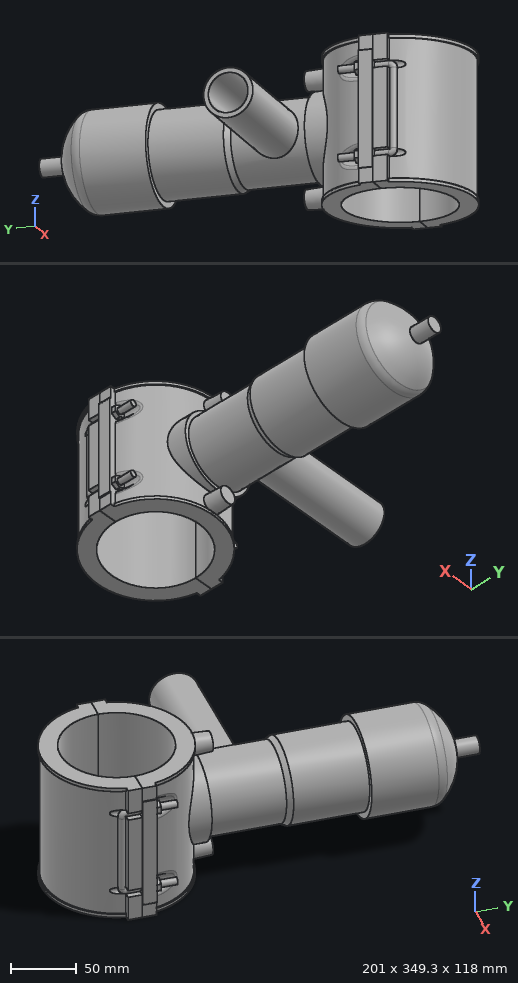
import cadquery as cq
import math

CLAMP_HEIGHT = 118.0
BORE_RADIUS = 45.0
LIP_RADIUS = 60.0
LIP_HEIGHT = 3.0
WALL_RADIUS = LIP_RADIUS - 1.2

EAR_REACH = 63.0
EAR_THICKNESS = 11.5
PAD_REACH = EAR_REACH + 1.0
PAD_HEIGHT = 94.0

ROD_DIAMETER = 6.0
ROD_RADIUS = ROD_DIAMETER / 2
BOLT_X = 57.0
BOLT_Z = 35.25
BOLT_TIP_Y = 29.5
BEND_RADIUS = ROD_RADIUS + 0.1
BOLT_BAR_Y = -(EAR_THICKNESS + BEND_RADIUS)
NUT_ACROSS_FLATS = 10.0
NUT_THICKNESS = 4.0
POCKET_RADIUS = 7.0
POCKET_ROUNDING = 4.0

TOWER_SCALE = 1.22
COLLAR_RADIUS = 30.0 * TOWER_SCALE
NECK_RADIUS = 27.0 * TOWER_SCALE
SLEEVE_RADIUS = 29.0 * TOWER_SCALE
CAP_DIAMETER = 81.33
CAP_RADIUS = CAP_DIAMETER / 2
STEM_RADIUS = 6.0 * TOWER_SCALE
CROWN_RADIUS = 40.0 * TOWER_SCALE
KNUCKLE_RADIUS = 10.0 * TOWER_SCALE

TOWER_TOP = 289.25
CROWN_TOP = TOWER_TOP - 15.0 * TOWER_SCALE
CROWN_CENTRE = CROWN_TOP - CROWN_RADIUS
KNUCKLE_CENTRE_R = CAP_RADIUS - KNUCKLE_RADIUS
KNUCKLE_CENTRE_Y = CROWN_CENTRE + math.sqrt((CROWN_RADIUS - KNUCKLE_RADIUS) ** 2 - KNUCKLE_CENTRE_R**2)
CAP_BOTTOM = KNUCKLE_CENTRE_Y - 44.0 * TOWER_SCALE
CONE_TOP = CAP_BOTTOM - 50.0 * TOWER_SCALE
CONE_BOTTOM = CONE_TOP - 4.0 * TOWER_SCALE
COLLAR_TOP = CONE_BOTTOM - 50.0 * TOWER_SCALE

BRANCH_RADIUS = 20.0
BRANCH_BORE_RADIUS = 16.0
BRANCH_Y = 91.0
BRANCH_END_X = -137.0
BRANCH_BORE_DEPTH = -BRANCH_END_X - NECK_RADIUS

STUD_Z = 47.25
STUD_TIP_Y = 75.0
STUD_TIP_RADIUS = 8.0
STUD_EMBED = 2.0
STUD_ROOT_Y = WALL_RADIUS - STUD_EMBED
STUD_ROOT_RADIUS = 8.9


def cylinder_z(radius, height):
    return cq.Workplane("XY", origin=(0, 0, -height / 2)).circle(radius).extrude(height)


def cylinder_y(radius, y_start, y_end, x=0.0, z=0.0):
    disc = cq.Workplane("XZ", origin=(x, y_start, z)).circle(radius)
    return disc.extrude(y_start - y_end)


def block(reach_x, y_start, y_end, height):
    """Box centred on the Y and Z axes, from y_start to y_end."""
    box = cq.Workplane("XY").box(2 * reach_x, y_end - y_start, height)
    return box.translate((0, (y_start + y_end) / 2, 0))


def add_lips(drum):
    """Add the slightly wider rim at each end of the drum."""
    lip = cylinder_z(LIP_RADIUS, LIP_HEIGHT)
    for side in (-1, 1):
        drum = drum.union(lip.translate((0, 0, side * (CLAMP_HEIGHT - LIP_HEIGHT) / 2)))
    return drum


def bolt_positions():
    return [(x, z) for x in (-BOLT_X, BOLT_X) for z in (-BOLT_Z, BOLT_Z)]


def drum_with_nut_pockets():
    """Drum with four round wells for the nuts, rounded where they break out of the wall."""
    drum = cylinder_z(WALL_RADIUS, CLAMP_HEIGHT).rotate((0, 0, 0), (0, 0, 1), 90)
    for x, z in bolt_positions():
        well = cylinder_y(POCKET_RADIUS, -LIP_RADIUS, LIP_RADIUS)
        if x < 0:
            well = well.rotate((0, 0, 0), (0, 1, 0), 180)
        drum = drum.cut(well.translate((x, 0, z)))
    rims = [edge for edge in drum.edges().vals() if edge.geomType() not in ("CIRCLE", "LINE")]
    return drum.newObject(rims).fillet(POCKET_ROUNDING)


def tower():
    """Collar, neck, sleeve and cap turned about Y; a knuckle arc blends the cap into its crown."""
    blend_angle = math.acos(KNUCKLE_CENTRE_R / (CROWN_RADIUS - KNUCKLE_RADIUS))
    blend_r = CROWN_RADIUS * math.cos(blend_angle)
    blend_y = CROWN_CENTRE + CROWN_RADIUS * math.sin(blend_angle)
    knuckle_mid = (
        KNUCKLE_CENTRE_R + KNUCKLE_RADIUS * math.cos(blend_angle / 2),
        KNUCKLE_CENTRE_Y + KNUCKLE_RADIUS * math.sin(blend_angle / 2),
    )
    crown_mid_angle = (blend_angle + math.pi / 2) / 2
    crown_mid = (
        CROWN_RADIUS * math.cos(crown_mid_angle),
        CROWN_CENTRE + CROWN_RADIUS * math.sin(crown_mid_angle),
    )
    outline = (
        cq.Workplane("XY")
        .lineTo(COLLAR_RADIUS, 0)
        .lineTo(COLLAR_RADIUS, COLLAR_TOP)
        .lineTo(NECK_RADIUS, COLLAR_TOP)
        .lineTo(NECK_RADIUS, CONE_BOTTOM)
        .lineTo(SLEEVE_RADIUS, CONE_TOP)
        .lineTo(SLEEVE_RADIUS, CAP_BOTTOM)
        .lineTo(CAP_RADIUS, CAP_BOTTOM)
        .lineTo(CAP_RADIUS, KNUCKLE_CENTRE_Y)
        .threePointArc(knuckle_mid, (blend_r, blend_y))
        .threePointArc(crown_mid, (0, CROWN_TOP))
        .close()
    )
    body = outline.revolve(360, (0, 0, 0), (0, 1, 0))
    return body.union(cylinder_y(STEM_RADIUS, CROWN_CENTRE, TOWER_TOP))


def branch_cylinder(radius, length):
    """Cylinder running inward along +X from the open end of the branch pipe."""
    disc = cq.Workplane("YZ", origin=(BRANCH_END_X, BRANCH_Y, 0)).circle(radius)
    return disc.extrude(length)


def stud(z):
    root = cq.Workplane("XZ", origin=(0, STUD_ROOT_Y, z)).circle(STUD_ROOT_RADIUS)
    return root.workplane(offset=STUD_ROOT_Y - STUD_TIP_Y).circle(STUD_TIP_RADIUS).loft()


def hex_nut(x, z):
    """Nut standing on the upper ear, with two corners pointing along Z."""
    across_corners = NUT_ACROSS_FLATS / math.cos(math.pi / 6)
    seat = cq.Workplane("XZ", origin=(x, EAR_THICKNESS, z)).transformed(rotate=(0, 0, 90))
    return seat.polygon(6, across_corners).extrude(-NUT_THICKNESS)


def u_bolt(x):
    """One U-bolt with tight quarter-round bends, and its two nuts."""
    bar_half = BOLT_Z - BEND_RADIUS
    bolt = cq.Workplane("XY", origin=(x, BOLT_BAR_Y, -bar_half)).circle(ROD_RADIUS).extrude(2 * bar_half)
    for side in (-1, 1):
        z = side * BOLT_Z
        leg = cylinder_y(ROD_RADIUS, -EAR_THICKNESS, BOLT_TIP_Y, x, z)
        bar_end = cq.Workplane("XY", origin=(x, BOLT_BAR_Y, side * bar_half)).circle(ROD_RADIUS)
        bend = bar_end.revolve(90, (0, BEND_RADIUS, 0), (-side, BEND_RADIUS, 0))
        bolt = bolt.union(leg).union(bend).union(hex_nut(x, z))
    return bolt


def bolt_slot(x, z):
    """Round-bottomed slot along Y, open to the outer side of the lower ear."""
    slot = cylinder_y(ROD_RADIUS, -LIP_RADIUS, 0, x, z)
    side = math.copysign(1, x)
    opening_width = EAR_REACH - BOLT_X
    opening = cq.Workplane("XY").box(opening_width, EAR_THICKNESS, ROD_DIAMETER)
    return slot.union(opening.translate((x + side * opening_width / 2, -EAR_THICKNESS / 2, z)))


bore = cylinder_z(BORE_RADIUS, CLAMP_HEIGHT)
u_bolts = [u_bolt(x) for x in (-BOLT_X, BOLT_X)]

upper_half = add_lips(drum_with_nut_pockets())
upper_half = upper_half.intersect(block(LIP_RADIUS, 0, LIP_RADIUS, CLAMP_HEIGHT))
upper_half = upper_half.union(block(EAR_REACH, 0, EAR_THICKNESS, CLAMP_HEIGHT))
upper_half = upper_half.union(block(PAD_REACH, 0, EAR_THICKNESS, PAD_HEIGHT))
upper_half = upper_half.union(tower()).union(branch_cylinder(BRANCH_RADIUS, -BRANCH_END_X))
for stud_z in (-STUD_Z, STUD_Z):
    upper_half = upper_half.union(stud(stud_z))
upper_half = upper_half.cut(branch_cylinder(BRANCH_BORE_RADIUS, BRANCH_BORE_DEPTH)).cut(bore)
for bolt in u_bolts:
    upper_half = upper_half.union(bolt)

lower_half = add_lips(cylinder_z(WALL_RADIUS, CLAMP_HEIGHT))
lower_half = lower_half.intersect(block(LIP_RADIUS, -LIP_RADIUS, 0, CLAMP_HEIGHT))
lower_half = lower_half.union(block(EAR_REACH, -EAR_THICKNESS, 0, CLAMP_HEIGHT)).cut(bore)
for bolt_x, bolt_z in bolt_positions():
    lower_half = lower_half.cut(bolt_slot(bolt_x, bolt_z))
for bolt in u_bolts:
    lower_half = lower_half.cut(bolt)

result = cq.Compound.makeCompound([upper_half.solids().val(), lower_half.solids().val()])